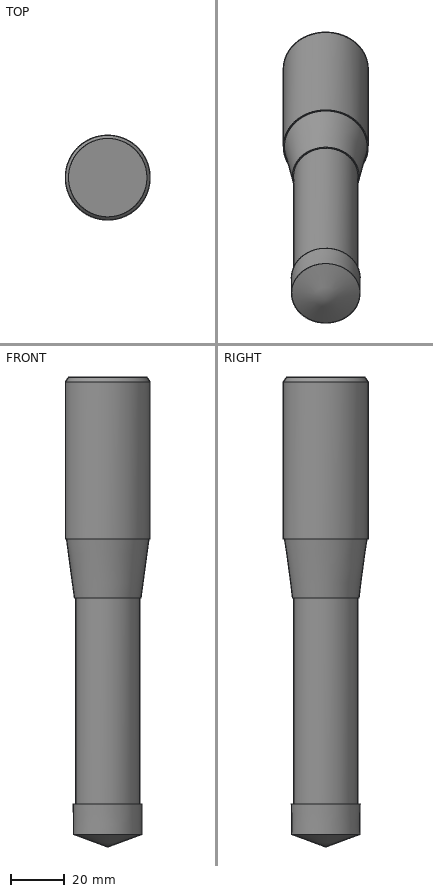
import cadquery as cq

total_length = 175.5
tip_height = 4.7
head_top = 16.2
collar_bottom = 93.0
shank_bottom = 115.2

shank_diameter = 31.8
shank_chamfer_height = 1.8
shank_chamfer_width = 1.2
collar_top_diameter = 30.9
collar_bottom_diameter = 25.0
neck_diameter = 24.0
head_top_diameter = 25.8
head_bottom_diameter = 25.6


def revolve_profile(points):
    """Revolve a closed (radius, height) outline around the Z axis."""
    outline = cq.Workplane("XZ").polyline(points).close()
    return outline.revolve(360, (0, 0, 0), (0, 1, 0))


def make_drill_head():
    """Slightly tapered cutting head with a conical point."""
    return revolve_profile([
        (0, 0),
        (head_bottom_diameter / 2, tip_height),
        (head_top_diameter / 2, head_top),
        (0, head_top),
    ])


def make_holder():
    """Neck, conical collar and chamfered clamping shank, seated on the head."""
    shank_radius = shank_diameter / 2
    return revolve_profile([
        (0, head_top),
        (neck_diameter / 2, head_top),
        (neck_diameter / 2, collar_bottom),
        (collar_bottom_diameter / 2, collar_bottom),
        (collar_top_diameter / 2, shank_bottom),
        (shank_radius, shank_bottom),
        (shank_radius, total_length - shank_chamfer_height),
        (shank_radius - shank_chamfer_width, total_length),
        (0, total_length),
    ])


drill_head = make_drill_head()
holder = make_holder()

result = cq.Compound.makeCompound([drill_head.val(), holder.val()])